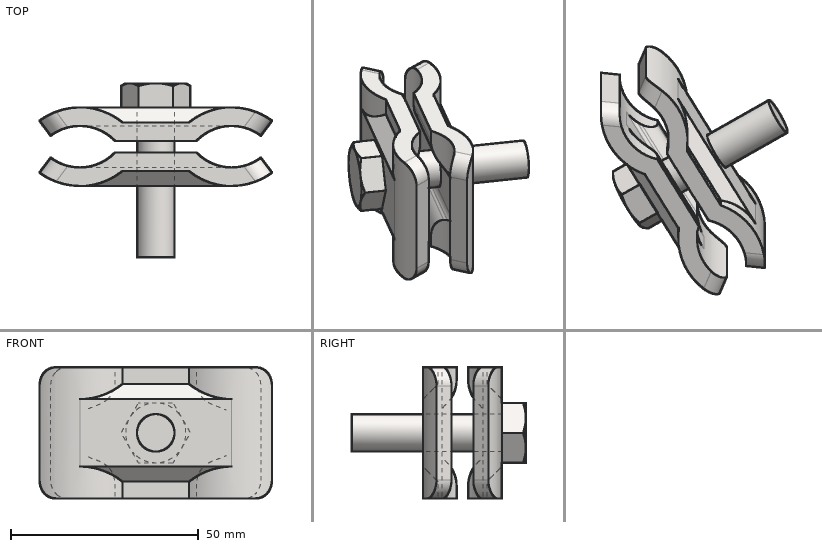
import cadquery as cq
import math


clamp_length = 62.0
clamp_height = 35.0
sheet = 5.0
press_depth = 4.0
plate_gap = 3.0
grip_radius = 13.0
grip_x = 20.2
corner_radius = 5.0
pad_half_height = 9.0
hollow_floor_half = 6.5
hollow_rim_radius = 9.0
hollow_floor_radius = 2.5

bolt_diameter = 10.0
shank_length = 40.0
head_height = 6.4
head_across_flats = 16.0
head_chamfer_angle = 30.0

web_inner_y = plate_gap / 2
web_outer_y = web_inner_y + sheet
pad_outer_y = web_outer_y + press_depth
pad_inner_y = pad_outer_y - sheet

grip_outer_radius = grip_radius + sheet
grip_y = pad_inner_y - grip_radius
outer_flat_half = grip_x - math.sqrt(grip_outer_radius**2 - (web_outer_y - grip_y) ** 2)
inner_flat_half = grip_x - math.sqrt(grip_radius**2 - (web_inner_y - grip_y) ** 2)
tip_angle = math.asin((clamp_length / 2 - grip_x) / grip_outer_radius)

pad_base_half = pad_half_height + press_depth
hollow_rim_half = hollow_floor_half + press_depth


def tip_point(side, radius):
    """Point on the radial end of a grip, on the side given as -1 or 1."""
    return (side * (grip_x + radius * math.sin(tip_angle)), grip_y + radius * math.cos(tip_angle))


def make_grip_body():
    """Flat web with a curved grip at either end, extruded along Z, with rounded corners."""
    outer_top = grip_y + grip_outer_radius
    inner_top = grip_y + grip_radius
    body = (
        cq.Workplane("XY")
        .workplane(offset=-clamp_height / 2)
        .moveTo(-outer_flat_half, web_outer_y)
        .lineTo(outer_flat_half, web_outer_y)
        .threePointArc((grip_x, outer_top), tip_point(1, grip_outer_radius))
        .lineTo(*tip_point(1, grip_radius))
        .threePointArc((grip_x, inner_top), (inner_flat_half, web_inner_y))
        .lineTo(-inner_flat_half, web_inner_y)
        .threePointArc((-grip_x, inner_top), tip_point(-1, grip_radius))
        .lineTo(*tip_point(-1, grip_outer_radius))
        .threePointArc((-grip_x, outer_top), (-outer_flat_half, web_outer_y))
        .close()
        .extrude(clamp_height)
    )
    tip_middle = grip_radius + sheet / 2
    for side in (-1, 1):
        tip_x, tip_y = tip_point(side, tip_middle)
        for level in (-1, 1):
            corner = cq.selectors.NearestToPointSelector((tip_x, tip_y, level * clamp_height / 2))
            body = body.edges(corner).fillet(corner_radius)
    return body


def make_pad():
    """Raised pad with sloping walls, filling the dip between the two grips."""
    return (
        cq.Workplane("YZ")
        .workplane(offset=-grip_x)
        .polyline([
            (pad_inner_y, -pad_base_half),
            (web_outer_y, -pad_base_half),
            (pad_outer_y, -pad_half_height),
            (pad_outer_y, pad_half_height),
            (web_outer_y, pad_base_half),
            (pad_inner_y, pad_base_half),
        ])
        .close()
        .extrude(2 * grip_x)
    )


def make_hollow():
    """Hollow behind the pad, rounded where its floor meets the sloping walls."""
    hollow = (
        cq.Workplane("YZ")
        .workplane(offset=-grip_x)
        .polyline([
            (web_inner_y, -hollow_rim_half),
            (pad_inner_y, -hollow_floor_half),
            (pad_inner_y, hollow_floor_half),
            (web_inner_y, hollow_rim_half),
        ])
        .close()
        .extrude(2 * grip_x)
    )
    return hollow.edges("|X and >Y").fillet(hollow_floor_radius)


def round_hollow_rim(plate):
    """Round the two long edges where the hollow breaks out of the inner flat web."""
    for side in (-1, 1):
        rim = cq.selectors.NearestToPointSelector((0, web_inner_y, side * hollow_rim_half))
        plate = plate.edges(rim).fillet(hollow_rim_radius)
    return plate


def make_shank():
    """Plain cylinder from under the bolt head towards -Y."""
    return (
        cq.Workplane("XZ")
        .workplane(offset=-pad_outer_y)
        .circle(bolt_diameter / 2)
        .extrude(shank_length)
    )


def make_clamp_plate(turn):
    """One clamp plate with its bolt hole, turned about Z by the given angle."""
    plate = make_grip_body().union(make_pad(), clean=False).cut(make_hollow())
    plate = round_hollow_rim(plate).cut(make_shank())
    return plate.rotate((0, 0, 0), (0, 0, 1), turn)


def make_bolt():
    """Hex bolt with the head's corners pointing along X and chamfered at its top."""
    across_corners = head_across_flats / math.cos(math.radians(30))
    flat_radius = head_across_flats / 2
    corner_reach = across_corners / 2
    chamfer_drop = (corner_reach - flat_radius) * math.tan(math.radians(head_chamfer_angle))
    head_top_y = pad_outer_y + head_height
    head = (
        cq.Workplane("XZ")
        .workplane(offset=-head_top_y)
        .polygon(6, across_corners)
        .extrude(head_height)
    )
    chamfer_envelope = (
        cq.Workplane("XY")
        .moveTo(0, pad_outer_y)
        .lineTo(corner_reach, pad_outer_y)
        .lineTo(corner_reach, head_top_y - chamfer_drop)
        .lineTo(flat_radius, head_top_y)
        .lineTo(0, head_top_y)
        .close()
        .revolve(360, (0, 0, 0), (0, 1, 0))
    )
    return head.intersect(chamfer_envelope).union(make_shank())


clamp_plates = [make_clamp_plate(turn) for turn in (0, 180)]
bolt = make_bolt()

result = cq.Compound.makeCompound([*(plate.val() for plate in clamp_plates), bolt.val()])